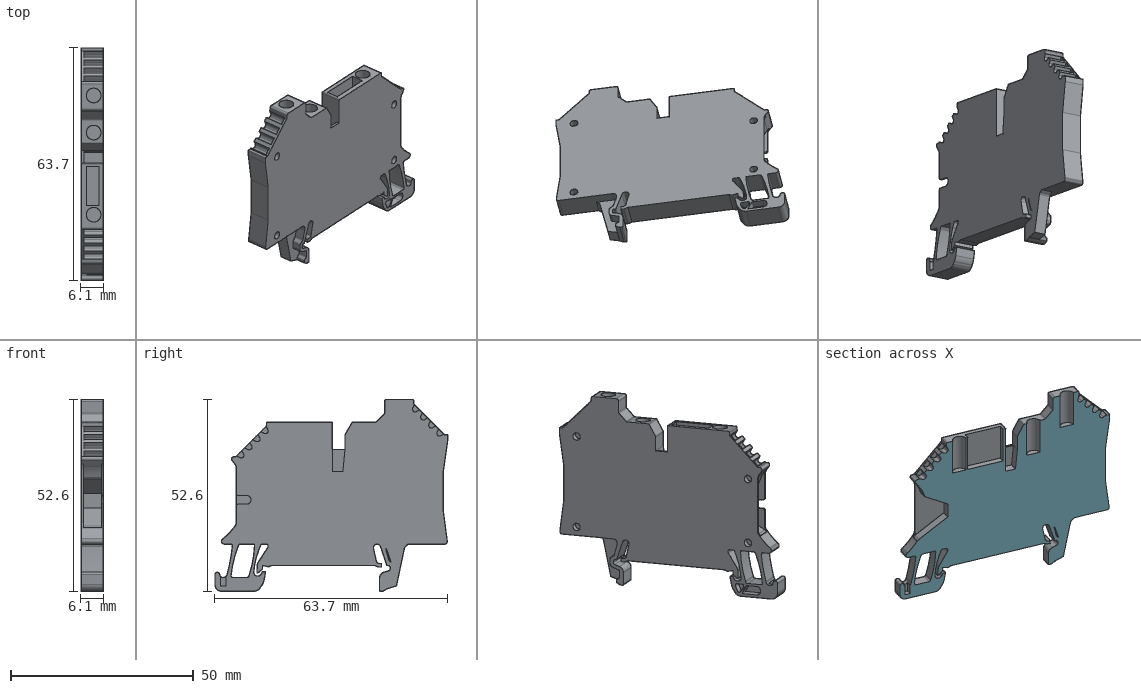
import cadquery as cq
import math


WIDTH = 6.1
LENGTH = 63.74
HEIGHT = 52.55

DECK_Z = 46.3
BASE_Z = 12.87
RAIL_Z = 7.04
SLOPE_TOP_Y = 14.08
SLOPE_TOP_Z = 45.2
NOSE_Z = 36.84
EAR_Y = 62.86
EAR_Z = 42.88
WALL_Y = 5.83

CENTRE_SLOT_Y = (32.18, 35.6)
CENTRE_SLOT_Z = 38.85

COVER = 0.7
SIDE_WALL = 0.6
FINE = 0.3
SAME_POINT = 1e-6


def setback_ratio(before, corner, after):
    """Distance from a corner to the ends of its rounding, per unit of radius."""
    to_before = cq.Vector(before[0] - corner[0], before[1] - corner[1], 0)
    to_after = cq.Vector(after[0] - corner[0], after[1] - corner[1], 0)
    return 1 / math.tan(to_before.getAngle(to_after) / 2)


def full_round(before, first, second, after):
    """The two end corners of a strip, given the radius that joins them in one continuous arc."""
    ratios = setback_ratio(before, first, second) + setback_ratio(first, second, after)
    radius = math.dist(first, second) / ratios
    return [(*first, radius), (*second, radius)]


def rounded_wire(corners):
    """Closed YZ outline through (y, z, radius) corners, each rounded by a tangent arc."""
    count = len(corners)
    stretches = []
    for i in range(count):
        y, z, radius = corners[i]
        before = corners[i - 1]
        after = corners[(i + 1) % count]
        corner = cq.Vector(y, z, 0)
        if radius == 0:
            stretches.append((corner,))
            continue
        to_before = (cq.Vector(before[0], before[1], 0) - corner).normalized()
        to_after = (cq.Vector(after[0], after[1], 0) - corner).normalized()
        half_angle = to_before.getAngle(to_after) / 2
        setback = radius * setback_ratio(before, corners[i], after)
        bisector = (to_before + to_after).normalized()
        arc_middle = corner + bisector * (radius / math.sin(half_angle) - radius)
        stretches.append((corner + to_before * setback, arc_middle, corner + to_after * setback))
    current = stretches[0][-1]
    outline = cq.Workplane("YZ").moveTo(current.x, current.y)
    for stretch in stretches[1:] + stretches[:1]:
        if (stretch[0] - current).Length > SAME_POINT:
            outline = outline.lineTo(stretch[0].x, stretch[0].y)
        if len(stretch) > 1:
            start, middle, end = stretch
            outline = outline.threePointArc((middle.x, middle.y), (end.x, end.y))
        current = stretch[-1]
    return outline.close()


def plate(corners, x_from, x_to, taper=0):
    """Prism of a rounded YZ outline between two X positions."""
    body = rounded_wire(corners).extrude(x_to - x_from, taper=taper).clean()
    return body.translate((x_from, 0, 0))


def block(x_range, y_range, z_range):
    """Axis-aligned box between pairs of limits."""
    spans = (x_range, y_range, z_range)
    sizes = [high - low for low, high in spans]
    corner = [low for low, high in spans]
    return cq.Workplane("XY").box(*sizes, centered=False).translate(tuple(corner))


NOSE_EDGE = (5.73, NOSE_Z)
LIP_POINT = (4.56, 36.0)
LIP_END = (WALL_Y, 34.3)
RAMP_TOP = (WALL_Y, 18.3)
RAMP_MIDDLE = (3.86, 15.75)
HOOK_ROOT = (4.79, BASE_Z)
HOOK_GAP_END = (1.55, 3.82)

top_side = [
    (LENGTH, EAR_Z, 0.1),
    (EAR_Y, EAR_Z, 0),
    (54.48, 51.26, FINE),
    (54.48, HEIGHT, 0.6),
    (46.43, HEIGHT, 0.6),
    (46.43, 48.64, FINE),
    (44.08, DECK_Z, FINE),
    (37.58, DECK_Z, FINE),
    (CENTRE_SLOT_Y[1], 42.88, FINE),
    (CENTRE_SLOT_Y[1], CENTRE_SLOT_Z, 0),
    (CENTRE_SLOT_Y[0], CENTRE_SLOT_Z, 0),
    (CENTRE_SLOT_Y[0], DECK_Z, 0.2),
    (SLOPE_TOP_Y, DECK_Z, FINE),
    (SLOPE_TOP_Y, SLOPE_TOP_Z, 0.2),
    (*NOSE_EDGE, 0.2),
]
front_end = [
    *full_round(NOSE_EDGE, (LIP_POINT[0], NOSE_Z), LIP_POINT, LIP_END),
    (*LIP_END, 2.2),
    (*RAMP_TOP, 2),
    (*RAMP_MIDDLE, 18),
    *full_round(RAMP_MIDDLE, (1.78, 14.05), (1.78, BASE_Z), HOOK_ROOT),
]
hook_foot = [
    (*HOOK_ROOT, 0.4),
    (4.36, 8.5, 46),
    (3.1, 3.82, 1),
    (*HOOK_GAP_END, 0.7),
    *full_round(HOOK_GAP_END, (1.17, 5.23), (0, 5.23), (0, 0)),
    (0, 0, 1.8),
    (11.7, 0, 2),
    (13.3, 2.2, 4),
    (13.95, 5.4, 0.15),
    (13.0, 5.4, 0.4),
    (12.34, 4.22, 0.9),
    (10.6, 4.22, 0.9),
    (10.95, 8.5, 20),
    (12.67, BASE_Z, 0.4),
    (14.65, BASE_Z, 0.5),
    (14.45, 12.0, 0.8),
    (11.6, 7.6, 1.5),
    (11.46, 4.99, 0.1),
    (11.8, 4.99, 0.1),
    (13.04, 6.07, 0),
    (13.04, 7.04, 0),
    (14.68, 6.67, 0.5),
    (15.52, RAIL_Z, 0),
]
CLIP_NOTCH = (47.94, 5.77)
CLIP_TOE = (45.02, 0)
clip_foot = [
    (43.68, RAIL_Z, 0),
    (44.69, 6.64, 0.4),
    (45.66, 6.64, 0),
    (45.66, 7.64, 0),
    (44.35, 7.64, 0.7),
    (43.18, BASE_Z, 0.95),
    (45.09, BASE_Z, 0.95),
    (47.03, RAIL_Z, 0.1),
    (47.94, RAIL_Z, 0.5),
    (*CLIP_NOTCH, 0.5),
    *full_round(CLIP_NOTCH, (45.52, 5.0), (45.02, 4.0), CLIP_TOE),
    (*CLIP_TOE, FINE),
    (45.95, 0, 0),
    (47.1, 0.64, 0.2),
    (47.1, 1.37, 0.2),
    (46.2, 2.21, 0.2),
    (46.2, 4.16, FINE),
    (48.9, 5.1, 1),
    (48.9, 7.4, 0.5),
    (47.7, 8.4, 0.5),
    (46.85, 11.4, 1.5),
    (46.85, BASE_Z, 1.1),
]
back_end = [
    (63.6, BASE_Z, 0.7),
    (63.6, 13.88, 0.5),
    (62.52, 22.09, 0),
    (62.52, 32.65, 0),
    (LENGTH, 41.2, 0),
]
housing_outline = top_side + front_end + hook_foot + clip_foot + back_end


CLIP_WEB_X = 2.6
WEB_OVERLAP = 0.5
clip_web_outline = [
    (52.9, BASE_Z + WEB_OVERLAP, 0),
    (52.9, BASE_Z, 0),
    (51.95, 12.05, 0.8),
    (49.72, 1.48, 0),
    (47.1, 0.64, 0),
    (46.0, 2.2, 0),
    (46.0, 4.3, 0),
    (48.4, 5.2, 0),
    (48.4, 7.2, 0),
    (46.3, BASE_Z + WEB_OVERLAP, 0),
]
hook_window_outline = [
    (10.83, BASE_Z, 0.2),
    (6.6, BASE_Z, 0.5),
    (4.9, 8.35, 32),
    (4.4, 3.82, 0.4),
    (9.15, 3.82, 0.5),
    (10.65, 8.35, 29.5),
]
triangle_pocket_outline = [
    (12.65, 3.45, 0.5),
    (9.9, 3.45, 0.2),
    (9.9, 2.6, 0.3),
    (11.0, 1.1, 0.2),
    (11.5, 1.1, 0.2),
]
rounded_pocket_outline = [
    (9.1, 3.2, 0.3),
    (5.0, 3.2, 1.1),
    (5.0, 0.8, 1.1),
    (10.4, 0.8, 0.2),
]
FOOT_POCKET_DEPTH = 2.0
FOOT_POCKET_TAPER = 5
GAP_POCKET_X = 1.6
GAP_POCKET_Y = (1.6, 3.05)
GAP_POCKET_Z = (1.5, 4.5)


def add_clip_web(body):
    return body.union(plate(clip_web_outline, CLIP_WEB_X, WIDTH))


def cut_foot_details(body):
    body = body.cut(plate(hook_window_outline, 0, WIDTH))
    for outline in (triangle_pocket_outline, rounded_pocket_outline):
        body = body.cut(plate(outline, 0, FOOT_POCKET_DEPTH, FOOT_POCKET_TAPER))
    return body.cut(block((GAP_POCKET_X, WIDTH), GAP_POCKET_Y, GAP_POCKET_Z))


SLOT_STEP = 0.57
SLOT_EXTRA_DEPTH = 6.0


def cut_deep_centre_slot(body):
    near, far = CENTRE_SLOT_Y
    floor_z = CENTRE_SLOT_Z - SLOT_EXTRA_DEPTH
    outline = [
        (near, CENTRE_SLOT_Z, 0),
        (far, CENTRE_SLOT_Z, 0),
        (far - SLOT_STEP, floor_z, 0),
        (near, floor_z, 0),
    ]
    return body.cut(plate(outline, COVER, WIDTH))


COMB_GROOVES = 4
COMB_PITCH = 3.13
GROOVE_WIDTH = 2.0
groove_floor = [(0.37, 1.45, 0.6), (1.5, 1.55, 0.8)]
GROOVE_MARGIN = 0.14
BACK_GROOVE_MARGIN = 0.26
GROOVE_CLEARANCE = 0.5


def cut_comb(body, edge_y, edge_z, rise, margin):
    """Cut grooves along a 45 degree slope running from an edge toward -Y, up (+1) or down (-1)."""
    groove = [(0, -GROOVE_CLEARANCE, 0), (0, 0, 0)]
    groove += groove_floor
    groove += [(GROOVE_WIDTH, 0, 0), (GROOVE_WIDTH, -GROOVE_CLEARANCE, 0)]
    for i in range(COMB_GROOVES):
        start = margin + i * COMB_PITCH
        corners = []
        for along, depth, radius in groove:
            y = edge_y - (start + along + rise * depth) / math.sqrt(2)
            z = edge_z + (rise * (start + along) - depth) / math.sqrt(2)
            corners.append((y, z, radius))
        body = body.cut(plate(corners, COVER, WIDTH))
    return body


ENTRY_BACK_Y = 14.5
entry_floor = [(ENTRY_BACK_Y, 22.8), (5.75, 17.9), (5.2, 17.45)]
entry_ceiling_slope = [(7.65, 30.75), (ENTRY_BACK_Y, 26.75)]
ENTRY_ARC_END = (7.4, 31.2)
ENTRY_FLUSH = (0.55, 1.05)
WIRE_SLOT_Z = 25.05
WIRE_SLOT_HEIGHT = 2.4
WIRE_SLOT_DEPTH = 4.05
WIRE_SLOT_FLARE = 0.6


def along_lip(fraction):
    """Point on the line of the lip's underside."""
    return tuple(start + fraction * (end - start) for start, end in zip(LIP_POINT, LIP_END))


def cut_wire_entry(body):
    """Funnel between the side walls; its ceiling continues the lip's underside."""
    mouth, arc_start = (along_lip(fraction) for fraction in ENTRY_FLUSH)
    outline = (
        cq.Workplane("YZ")
        .moveTo(*mouth)
        .lineTo(*arc_start)
        .tangentArcPoint(ENTRY_ARC_END, relative=False)
    )
    for point in entry_ceiling_slope + entry_floor:
        outline = outline.lineTo(*point)
    recess = outline.close().extrude(WIDTH - 2 * SIDE_WALL).translate((SIDE_WALL, 0, 0))
    return body.cut(recess)


def cut_wire_slot(body):
    """Round-ended slot with a flared mouth through the +X wall of the wire entry."""
    half = WIRE_SLOT_HEIGHT / 2
    mouth = half + WIRE_SLOT_FLARE
    end_y = WALL_Y + WIRE_SLOT_DEPTH
    flare_y = WALL_Y + WIRE_SLOT_FLARE
    bulge = WIRE_SLOT_FLARE * (1 - math.sqrt(0.5))
    slot = (
        cq.Workplane("YZ")
        .moveTo(WALL_Y, WIRE_SLOT_Z + mouth)
        .threePointArc(
            (WALL_Y + bulge, WIRE_SLOT_Z + half + bulge),
            (flare_y, WIRE_SLOT_Z + half),
        )
        .lineTo(end_y - half, WIRE_SLOT_Z + half)
        .threePointArc((end_y, WIRE_SLOT_Z), (end_y - half, WIRE_SLOT_Z - half))
        .lineTo(flare_y, WIRE_SLOT_Z - half)
        .threePointArc(
            (WALL_Y + bulge, WIRE_SLOT_Z - half - bulge),
            (WALL_Y, WIRE_SLOT_Z - mouth),
        )
        .close()
        .extrude(SIDE_WALL)
        .translate((WIDTH - SIDE_WALL, 0, 0))
    )
    return body.cut(slot)


SCREW_HOLE_X = 3.4
SCREW_HOLE_DIAMETER = 4.0
TOP_OPENING_DEPTH = 10.0
screw_holes = [(50.7, HEIGHT), (40.55, DECK_Z), (18.07, DECK_Z)]
TOP_POCKET_X = (1.4, 4.85)
TOP_POCKET_Y = (20.65, 31.3)


def cut_top_openings(body):
    for y, top in screw_holes:
        hole = (
            cq.Workplane("XY", origin=(SCREW_HOLE_X, y, top))
            .circle(SCREW_HOLE_DIAMETER / 2)
            .extrude(-TOP_OPENING_DEPTH)
        )
        body = body.cut(hole)
    return body.cut(block(TOP_POCKET_X, TOP_POCKET_Y, (DECK_Z - TOP_OPENING_DEPTH, DECK_Z)))


PIN_DIAMETER = 2.1
PIN_DEPTH = 2.0
FRONT_PIN_Y = 8.65
BACK_PIN_Y = 58.7
LOWER_PIN_Z = 15.29
pin_holes = [
    (FRONT_PIN_Y, LOWER_PIN_Z),
    (BACK_PIN_Y, LOWER_PIN_Z),
    (FRONT_PIN_Y, 33.32),
    (BACK_PIN_Y, 40.83),
]


def cut_pin_holes(body):
    pins = cq.Workplane("YZ").pushPoints(pin_holes).circle(PIN_DIAMETER / 2).extrude(PIN_DEPTH)
    return body.cut(pins)


part = plate(housing_outline, 0, WIDTH)
part = add_clip_web(part)
part = cut_foot_details(part)
part = cut_deep_centre_slot(part)
part = cut_comb(part, SLOPE_TOP_Y, SLOPE_TOP_Z, -1, GROOVE_MARGIN)
part = cut_comb(part, EAR_Y, EAR_Z, 1, BACK_GROOVE_MARGIN)
part = cut_wire_entry(part)
part = cut_wire_slot(part)
part = cut_top_openings(part)
result = cut_pin_holes(part)